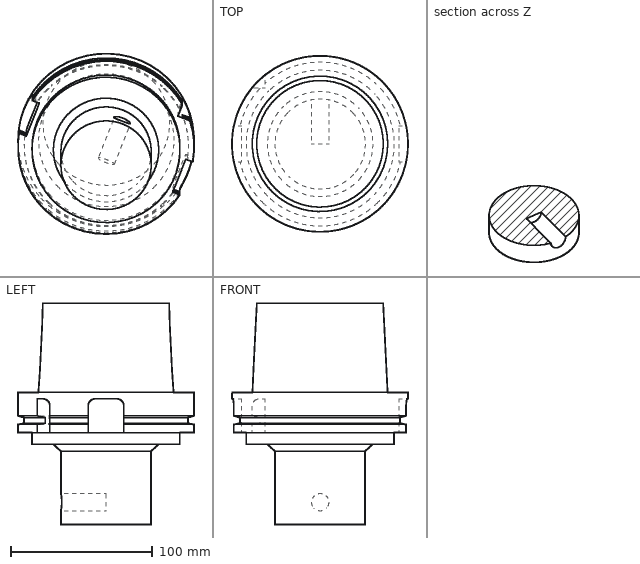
import cadquery as cq

stem_radius = 32.0
collar_cone_radius = 37.4
disc_radius = 52.52
flange_radius = 62.5
groove_radius = 58.2
taper_base_radius = 48.0
taper_top_radius = 44.9

stem_top = 52.0
disc_bottom = 56.8
flange_bottom = 65.2
groove_bottom = 71.0
neck_bottom = 71.9
neck_top = 75.8
groove_top = 77.1
flange_top = 93.7
total_height = 157.0

slot_width = 25.5
slot_top = 89.2
slot_corner_radius = 5.2
slot_floor = 55.7

notch_wall_y = 39.7
notch_floor_x = -39.2
notch_corner_radius = 5.2

hole_diameter = 12.2
hole_height = 16.0

tool_overrun = 3.1


def turned_body():
    """Stem, disc, grooved flange and taper as one revolved profile."""
    profile = [
        (0, 0),
        (stem_radius, 0),
        (stem_radius, stem_top),
        (collar_cone_radius, disc_bottom),
        (disc_radius, disc_bottom),
        (disc_radius, flange_bottom),
        (flange_radius, flange_bottom),
        (flange_radius, groove_bottom),
        (groove_radius, neck_bottom),
        (groove_radius, neck_top),
        (flange_radius, groove_top),
        (flange_radius, flange_top),
        (taper_base_radius, flange_top),
        (taper_top_radius, total_height),
        (0, total_height),
    ]
    return cq.Workplane("XZ").polyline(profile).close().revolve(360, (0, 0), (0, 1))


def flange_cutter(x_min, x_max, y_min, y_max, corner_radius):
    """Block open at the flange bottom, with its two upper edges along X rounded."""
    block = cq.Workplane("XY").box(
        x_max - x_min, y_max - y_min, slot_top - flange_bottom, centered=False
    )
    block = block.edges("|X and >Z").fillet(corner_radius)
    return block.translate((x_min, y_min, flange_bottom))


outer_reach = flange_radius + tool_overrun
drive_slot = flange_cutter(
    -outer_reach, -slot_floor, -slot_width / 2, slot_width / 2, slot_corner_radius
)
edge_notch = flange_cutter(
    -outer_reach, notch_floor_x, notch_wall_y, outer_reach, notch_corner_radius
)
stem_hole = (
    cq.Workplane("XZ")
    .center(0, hole_height)
    .circle(hole_diameter / 2)
    .extrude(-(stem_radius + tool_overrun))
)

result = turned_body().cut(edge_notch).cut(stem_hole)
for angle in (0, 180):
    result = result.cut(drive_slot.rotate((0, 0, 0), (0, 0, 1), angle))